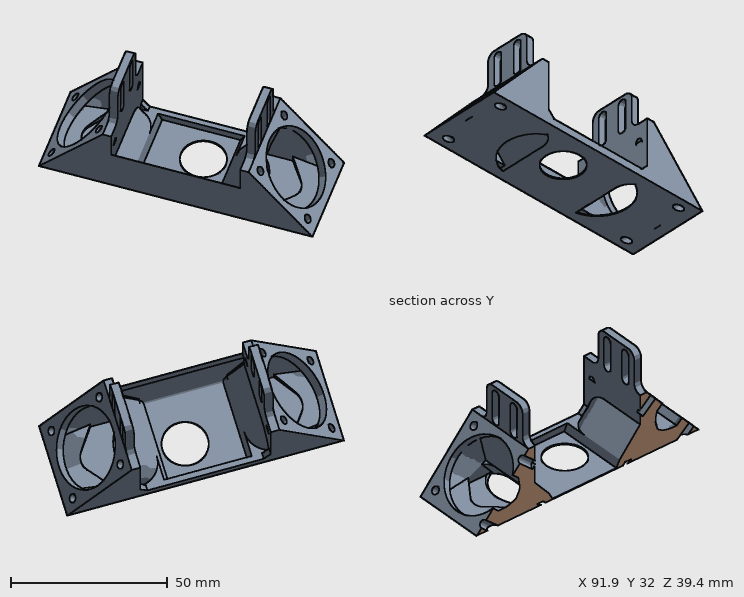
import cadquery as cq
import math

base_half = 45.95
shoulder_half = 24.5
shoulder_height = 24.4
depth = 32.0
overall_height = 39.4
half_depth = depth / 2
end_run = base_half - shoulder_half
slope_length = math.hypot(end_run, shoulder_height)
up_x = -end_run / slope_length
up_z = shoulder_height / slope_length
overlap = 1.0

bay_half = 21.65
front_wall_top = 15.2
front_bevel_drop = 1.3
front_bevel_y = -14.9
front_wall_foot_y = -14.4
foot_fillet = 1.0
shelf_height = 3.1

back_inner_y = 14.0
ramp_start = 19.3
ramp_rise = 2.5

floor_thickness = 0.5
pocket_left = -15.9
pocket_right = 13.2
pocket_draft = 1.4
nozzle_diameter = 15.0
nozzle_center = (3.0, 3.0)

cover_angle = 49.6
cover_slope = math.tan(math.radians(cover_angle))
cover_corner_radius = 8.4
cover_length = 26.0
duct_wall = 1.5

fan_size = 32.0
fan_bore = 27.0
fan_bore_depth = 3.0
screw_diameter = 2.8
screw_spacing = 24.0
screw_depth = 7.0

duct_floor = 1.0
duct_half_width = 10.8
throat_outer = 30.4
throat_inner = 23.2
throat_outer_height = 3.2
throat_inner_height = 6.8
floor_tip = 38.0
floor_tip_radius = 6.0
outlet_diameter = 27.0
outlet_taper = 0.7
outlet_shift = 1.2

tab_width = 18.0
tab_center_y = -0.2
tab_radius = 3.0
slot_width = 3.3
slot_spacing = 9.0
slot_bottom = 24.8
slot_top = 38.0


def extrude_y(points, y_low, y_high):
    """Prism along Y from an XZ outline."""
    plane = cq.Workplane("XZ", origin=(0, y_low, 0))
    return plane.polyline(points).close().extrude(y_low - y_high)


def fan_plane(side):
    """Plane on the sloping face, centred on the fan, normal pointing outward."""
    along = slope_length - fan_size / 2
    origin = (side * (base_half + up_x * along), 0, up_z * along)
    return cq.Plane(origin=origin, xDir=(0, side, 0), normal=(side * up_z, 0, -up_x))


def make_body():
    outline = [
        (-base_half, 0),
        (base_half, 0),
        (shoulder_half, shoulder_height),
        (-shoulder_half, shoulder_height),
    ]
    body = extrude_y(outline, -half_depth, half_depth)
    bay = (
        cq.Workplane("YZ", origin=(-bay_half, 0, 0))
        .moveTo(-half_depth, front_wall_top)
        .lineTo(front_bevel_y, front_wall_top - front_bevel_drop)
        .lineTo(front_wall_foot_y, shelf_height)
        .lineTo(half_depth + overlap, shelf_height)
        .lineTo(half_depth + overlap, overall_height)
        .lineTo(-half_depth - overlap, overall_height)
        .lineTo(-half_depth - overlap, front_wall_top)
        .close()
        .extrude(2 * bay_half)
    )
    return body.cut(bay)


def make_ramp(side):
    outline = [
        (side * ramp_start, shelf_height),
        (side * bay_half, shelf_height + ramp_rise),
        (side * bay_half, shelf_height),
    ]
    return extrude_y(outline, back_inner_y, half_depth)


def make_cover(side, toe, inset, base):
    """Slanted block rising outward from the toe, with one rounded back corner."""
    radius = cover_corner_radius - inset
    toe_x = side * (toe + inset)
    outer_x = toe_x + side * cover_length
    back_y = back_inner_y - inset
    front_y = front_wall_foot_y + inset
    bend = radius * (1 - math.sqrt(0.5))
    outline = (
        cq.Workplane("XY", origin=(0, 0, base))
        .moveTo(toe_x, front_y)
        .lineTo(toe_x, back_y - radius)
        .threePointArc((toe_x + side * bend, back_y - bend), (toe_x + side * radius, back_y))
        .lineTo(outer_x, back_y)
        .lineTo(outer_x, front_y)
        .close()
    )
    rise = cq.Vector(side * cover_length, 0, cover_length * cover_slope)
    return cq.Workplane(cq.Solid.extrudeLinear(outline.val(), [], rise))


def bay_side(side, inner, outer):
    """Full-height box between two distances from the middle, on one side."""
    middle = side * (inner + outer) / 2
    box = cq.Workplane("XY").box(outer - inner, 2 * depth, 2 * overall_height)
    return box.translate((middle, 0, 0))


def make_pocket():
    floor_left = pocket_left + pocket_draft
    floor_right = pocket_right - pocket_draft
    outline = [
        (floor_left, floor_thickness),
        (floor_right, floor_thickness),
        (pocket_right, shelf_height),
        (pocket_right, front_wall_top),
        (pocket_left, front_wall_top),
        (pocket_left, shelf_height),
    ]
    pocket = extrude_y(outline, front_wall_foot_y, back_inner_y)
    nozzle = cq.Workplane("XY").center(*nozzle_center).circle(nozzle_diameter / 2).extrude(shelf_height)
    return pocket.union(nozzle)


def make_funnel(side):
    """Transition from the round fan bore to the rectangular throat of the duct."""
    plane = fan_plane(side)
    reach = fan_bore / 2
    diagonal = reach * math.sqrt(0.5)

    def on_bore(across, along):
        return plane.toWorldCoords((side * across, along, -fan_bore_depth))

    quarters = [
        ((-diagonal, -diagonal), (0, -reach), (diagonal, -diagonal)),
        ((diagonal, -diagonal), (reach, 0), (diagonal, diagonal)),
        ((diagonal, diagonal), (0, reach), (-diagonal, diagonal)),
        ((-diagonal, diagonal), (-reach, 0), (-diagonal, -diagonal)),
    ]
    arcs = [cq.Edge.makeThreePointArc(*[on_bore(*point) for point in arc]) for arc in quarters]
    mouth = cq.Wire.assembleEdges(arcs)
    corners = [
        cq.Vector(side * throat_outer, -duct_half_width, throat_outer_height),
        cq.Vector(side * throat_outer, duct_half_width, throat_outer_height),
        cq.Vector(side * throat_inner, duct_half_width, throat_inner_height),
        cq.Vector(side * throat_inner, -duct_half_width, throat_inner_height),
    ]
    throat = cq.Wire.makePolygon(corners, close=True)
    return cq.Workplane(cq.Solid.makeLoft([mouth, throat], True))


def make_floor_chamber(side, under_cover):
    """Space below the throat, with a flat floor that narrows toward the fan."""
    floor_plan = [
        (side * floor_tip, 0),
        (side * throat_outer, duct_half_width),
        (0, duct_half_width),
        (0, -duct_half_width),
        (side * throat_outer, -duct_half_width),
    ]
    below_throat = [
        (side * floor_tip, duct_floor),
        (side * floor_tip, throat_outer_height),
        (side * throat_outer, throat_outer_height + overlap),
        (side * throat_inner, throat_inner_height),
        (0, throat_inner_height),
        (0, duct_floor),
    ]
    chamber = cq.Workplane("XY").polyline(floor_plan).close().extrude(throat_inner_height)
    tip_edge = cq.selectors.NearestToPointSelector((side * floor_tip, 0, throat_inner_height / 2))
    chamber = chamber.edges("|Z").edges(tip_edge).fillet(floor_tip_radius)
    chamber = chamber.intersect(extrude_y(below_throat, -half_depth, half_depth))
    return chamber.intersect(under_cover)


def make_outlet(side, toe, under_cover):
    """Tapered round opening through the duct floor, ending at the foot of the cover."""
    center = cq.Vector(side * (toe - outlet_shift), 0, 0)
    top_radius = outlet_diameter / 2
    cone = cq.Solid.makeCone(top_radius - outlet_taper, top_radius, duct_floor, center)
    return cq.Workplane(cone).intersect(under_cover)


def make_duct(side, toe):
    seat = cq.Workplane(fan_plane(side)).circle(fan_bore / 2).extrude(-fan_bore_depth)
    under_cover = make_cover(side, toe, duct_wall, 0)
    chamber = make_floor_chamber(side, under_cover)
    return seat.union(make_funnel(side)).union(chamber).union(make_outlet(side, toe, under_cover))


def make_screw_holes(side):
    plane = cq.Workplane(fan_plane(side)).rect(screw_spacing, screw_spacing, forConstruction=True)
    return plane.vertices().circle(screw_diameter / 2).extrude(-screw_depth)


def make_tab(x_low):
    thickness = shoulder_half - bay_half
    half = tab_width / 2
    foot = half + tab_radius
    bend = tab_radius * (1 - math.sqrt(0.5))
    foot_z = shoulder_height
    plane = cq.Workplane("YZ", origin=(x_low, tab_center_y, 0))
    tab = (
        plane.moveTo(-foot, foot_z)
        .threePointArc((-half - bend, foot_z + bend), (-half, foot_z + tab_radius))
        .lineTo(-half, overall_height)
        .lineTo(half, overall_height)
        .lineTo(half, foot_z + tab_radius)
        .threePointArc((half + bend, foot_z + bend), (foot, foot_z))
        .close()
        .extrude(thickness)
    )
    top_corners = cq.selectors.BoxSelector(
        (x_low - overlap, -depth, overall_height - tab_radius),
        (x_low + thickness + overlap, depth, overall_height + overlap),
    )
    tab = tab.edges("|X").edges(top_corners).fillet(tab_radius)
    slots = (
        plane.center(0, (slot_bottom + slot_top) / 2)
        .pushPoints([(-slot_spacing / 2, 0), (slot_spacing / 2, 0)])
        .slot2D(slot_top - slot_bottom, slot_width, 90)
        .extrude(thickness)
    )
    return tab.cut(slots)


def make_foot_fillet(x, z, path):
    """Concave bar filling the corner along the front wall, extruded along a path."""
    top = z + foot_fillet
    inner_y = front_wall_foot_y + foot_fillet
    bend = foot_fillet * (1 - math.sqrt(0.5))
    outline = (
        cq.Workplane("YZ", origin=(x, 0, 0))
        .moveTo(-half_depth, z)
        .lineTo(inner_y, z)
        .threePointArc((front_wall_foot_y + bend, z + bend), (front_wall_foot_y, top))
        .lineTo(-half_depth, top)
        .close()
    )
    return cq.Workplane(cq.Solid.extrudeLinear(outline.val(), [], path))


def make_cover_foot_fillet(side, toe):
    path = cq.Vector(side * (bay_half - toe), 0, (bay_half - toe) * cover_slope)
    return make_foot_fillet(side * toe, shelf_height, path)


def make_pocket_foot_fillet():
    path = cq.Vector(pocket_right - pocket_left, 0, 0)
    return make_foot_fillet(pocket_left, floor_thickness, path)


sides = ((-1, -pocket_left), (1, pocket_right))

result = make_body()
for side, toe in sides:
    result = result.union(make_ramp(side))
    cover = make_cover(side, toe, 0, shelf_height)
    result = result.union(cover.intersect(bay_side(side, toe, bay_half)))
    result = result.union(make_cover_foot_fillet(side, toe))
result = result.cut(make_pocket()).union(make_pocket_foot_fillet())
for side, toe in sides:
    result = result.cut(make_duct(side, toe)).cut(make_screw_holes(side))
for x_low in (-shoulder_half, bay_half):
    result = result.union(make_tab(x_low))